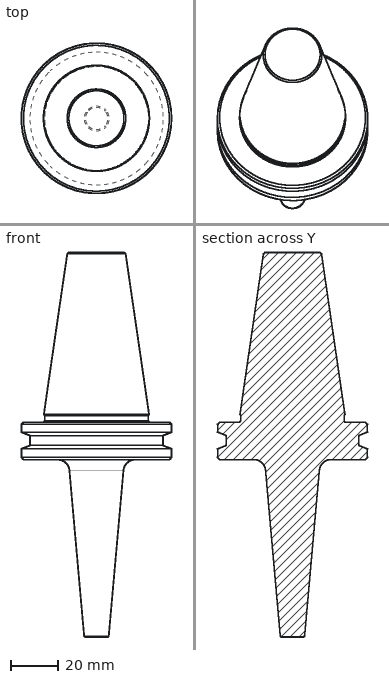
import cadquery as cq

total_length = 162.5
taper_length = 68.4
collar_length = 3.2
flange_width = 16.0

gauge_z = total_length - taper_length
flange_top_z = gauge_z - collar_length
flange_bottom_z = flange_top_z - flange_width

gauge_radius = 22.3
taper_ratio = 7 / 24
shank_end_radius = gauge_radius - taper_length * taper_ratio / 2
shank_chamfer = 0.6
collar_radius = 22.0
gauge_bevel_height = 0.5
collar_root_chamfer = 0.5

flange_radius = 31.77
flange_chamfer = 1.0
groove_radius = 28.1
groove_offset = 11.0
groove_center_z = gauge_z - groove_offset
groove_floor_width = 4.0
groove_mouth_width = 7.0

nose_root_radius = 11.9
nose_tip_radius = 5.2
nose_chamfer = 0.5
nose_fillet = 4.9


def make_shank():
    """Taper shank, chamfered at its small end, on a collar flared at both ends."""
    collar = (
        cq.Workplane("XZ", origin=(0, 0, flange_top_z))
        .lineTo(collar_radius + collar_root_chamfer, 0)
        .lineTo(collar_radius, collar_root_chamfer)
        .lineTo(collar_radius, collar_length - gauge_bevel_height)
        .lineTo(gauge_radius, collar_length)
        .lineTo(0, collar_length)
        .close()
        .revolve(360, (0, 0), (0, 1))
    )
    taper = cq.Workplane(cq.Solid.makeCone(
        gauge_radius, shank_end_radius, taper_length, pnt=cq.Vector(0, 0, gauge_z)))
    return collar.union(taper.faces(">Z").chamfer(shank_chamfer))


def make_flange():
    """Chamfered disc with the V-groove cut around its rim."""
    disc = cq.Workplane("XY", origin=(0, 0, flange_bottom_z)).circle(flange_radius).extrude(flange_width)
    disc = disc.edges("%CIRCLE").chamfer(flange_chamfer)
    half_floor = groove_floor_width / 2
    half_mouth = groove_mouth_width / 2
    groove = (
        cq.Workplane("XZ", origin=(0, 0, groove_center_z))
        .moveTo(groove_radius, -half_floor)
        .lineTo(flange_radius, -half_mouth)
        .lineTo(flange_radius, half_mouth)
        .lineTo(groove_radius, half_floor)
        .close()
        .revolve(360, (0, 0), (0, 1))
    )
    return disc.cut(groove)


def make_nose():
    """Cone widening from the chamfered tip up to the flange."""
    cone = cq.Workplane(cq.Solid.makeCone(nose_tip_radius, nose_root_radius, flange_bottom_z))
    return cone.faces("<Z").chamfer(nose_chamfer)


body = make_flange().union(make_nose())
root_edge = cq.selectors.RadiusNthSelector(0)
body = body.faces("<Z[1]").edges(root_edge).fillet(nose_fillet)
result = body.union(make_shank())